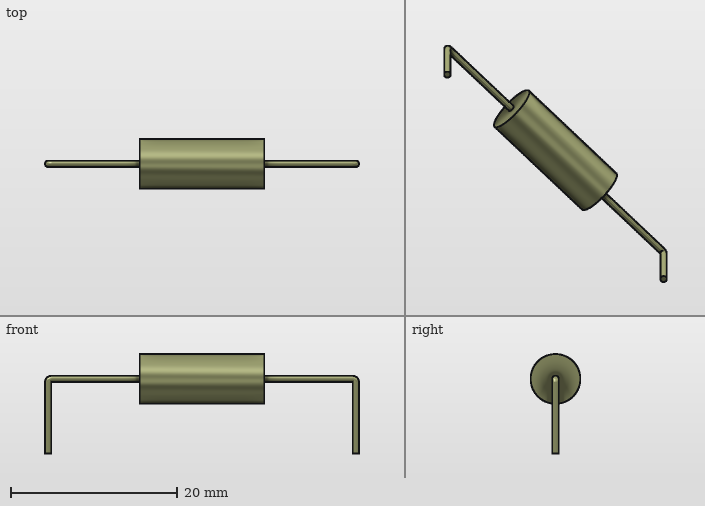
import cadquery as cq

overall_length = 37.8
body_diameter = 6.0
body_length = 15.0
lead_diameter = 0.8
lead_drop = 9.0

lead_radius = lead_diameter / 2
body_half_length = body_length / 2
leg_x = -(overall_length / 2 - lead_radius)
bend_radius = lead_radius
bend_end_x = leg_x + bend_radius
bend_bottom_z = -bend_radius


def make_body():
    """Cylinder along X, centred on the origin."""
    end_face = cq.Workplane("YZ", origin=(-body_half_length, 0, 0))
    return end_face.circle(body_diameter / 2).extrude(body_length)


def make_lead(turn):
    """Round wire leaving a body end face, turning a tight corner and running down.

    The -X lead is built first, then turned about Z by the given angle in degrees.
    """
    run = (
        cq.Workplane("YZ", origin=(bend_end_x, 0, 0))
        .circle(lead_radius)
        .extrude(-body_half_length - bend_end_x)
    )
    bend = (
        cq.Workplane("XY", origin=(leg_x, 0, bend_bottom_z))
        .circle(lead_radius)
        .revolve(90, (bend_radius, 0), (bend_radius, 1))
    )
    leg = (
        cq.Workplane("XY", origin=(leg_x, 0, -lead_drop))
        .circle(lead_radius)
        .extrude(lead_drop + bend_bottom_z)
    )
    lead = run.union(bend).union(leg)
    return lead.rotate((0, 0, 0), (0, 0, 1), turn)


body = make_body()
leads = [make_lead(turn) for turn in (0, 180)]

result = cq.Compound.makeCompound([body.val(), *[lead.solids().val() for lead in leads]])